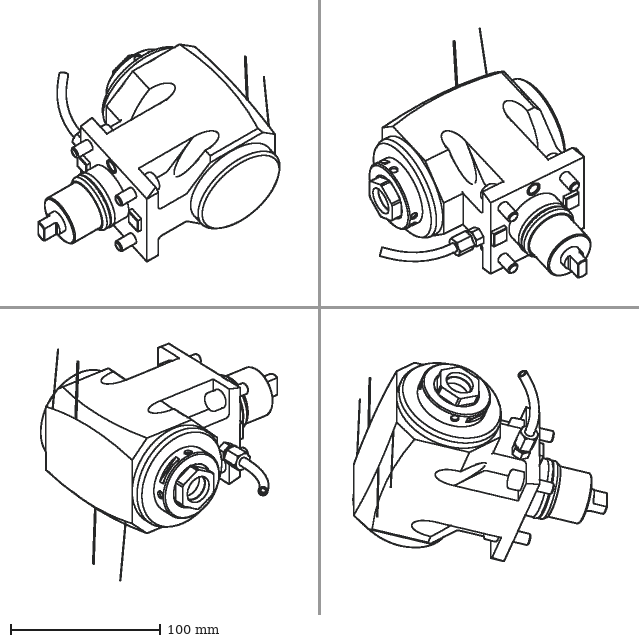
import cadquery as cq
import math


overall_length = 164.5

half_height = 37.0
back_y = 36.2
housing_left = -50.8
housing_right = 40.8
facet_start_y = -15.3
front_y = -37.2
neck_half_height = half_height - (facet_start_y - front_y)
back_chamfer = 7.0
back_curve_radius = 187.5
right_chamfer_x = 3.1
right_chamfer_z = 2.5

plate_left = -35.0
plate_back_y = -60.5
plate_front_y = -70.0
plate_edge_slope = 2.5
plate_front_half_height = half_height - plate_edge_slope
web_half_width = 18.1
neck_fillet = 3.0

bolt_offset = 25.0
bolt_radius = 4.0
bolt_tip_y = -82.5
bolt_chamfer = 0.8
bolt_head_radius = 6.5
bolt_head_length = 8.2
bolt_head_fillet = 1.2
scallop_radius = bolt_offset - web_half_width
scallop_start_y = 0.2
scallop_angle = 29.5
scallop_end_gap = 0.8
key_inner_x = 23.9
key_outer_x = 34.5
key_half_height = 6.1
key_height = 3.3
key_chamfer = 0.5
set_screw_z = 27.0
set_screw_radius = 3.6
set_screw_rim_radius = 5.0
set_screw_rim_depth = 0.5
set_screw_depth = 8.2

shank_radius = 20.0
bead_radius = 20.5
groove_radius = 18.5
pilot_radius = 17.5
drive_radius = 7.5
bead_start_y = -81.5
bead_end_y = -84.5
flange_start_y = -85.2
flange_end_y = -90.5
flange_chamfer_length = 2.5
flange_chamfer_radial = 1.6
pilot_end_y = -113.2
pilot_chamfer = 0.8
drive_end_y = -118.0
tang_end_y = back_y - overall_length
tang_half_width = 3.6
tang_root = 0.8
tang_chamfer = 0.5

collar_left = -59.0
collar_radius = 36.2
collar_chamfer_x = 3.1
collar_chamfer_radial = 1.6
nut_left = -70.0
nut_radius = 24.2
nut_chamfer = 1.0
nut_hole_x = -66.0
nut_hole_radius = 2.6
nut_hole_depth = 4.3
flat_x = -65.1
flat_width = 3.5
flat_length = 19.7
nut_recess_radius = 16.0
nut_recess_depth = 1.0
hex_left = -76.5
hex_across_flats = 27.0
hex_turned_radius = 15.1
mouth_radius = 9.4
mouth_depth = 4.1
bore_radius = 8.9
bore_depth = 9.9
cap_right = 51.3
cap_radius = 33.9
cap_chamfer = 2.0

fitting_y = -56.3
fitting_z = -8.9
seat_nut_end = -40.8
fitting_neck_end = -43.1
cap_nut_end = -55.0
seat_nut_flats = 10.9
cap_nut_flats = 11.8
cap_nut_turn = -7.0
cap_nut_chamfer = 0.8
fitting_neck_radius = 5.1
tube_radius = 3.1
tube_bore_radius = 2.0
tube_bore_depth = 3.3
tube_straight_end = -56.9
tube_bend_radius = 56.3
tube_bend_angle = 45.5
tube_tip_length = 5.6
tube_tilt = 15.0

needle_tip_z = 74.7
needle_root_z = 23.0
needles = [
    (32.5, -4.5, 1, 0.3, 0.3),
    (9.0, -1.8, 1, 1.0, 0.7),
    (-42.5, 4.5, -1, 0.3, 0.3),
    (-11.2, 1.8, -1, 1.0, 0.3),
]


def box(x0, x1, y0, y1, z0, z1):
    return cq.Workplane("XY").box(x1 - x0, y1 - y0, z1 - z0, centered=False).translate((x0, y0, z0))


def rod_x(radius, x0, x1, y=0, z=0):
    return cq.Workplane("YZ", origin=(x0, y, z)).circle(radius).extrude(x1 - x0)


def rod_y(radius, y0, y1, x=0, z=0):
    """Cylinder along Y starting at y0 and running in -Y to y1."""
    return cq.Workplane("XZ", origin=(x, y0, z)).circle(radius).extrude(y0 - y1)


def hex_x(across_flats, x0, x1, y, z, turn):
    """Hexagonal prism along X; a turn of 0 puts two corners on +Y and -Y."""
    corners = across_flats / math.cos(math.pi / 6)
    prism = cq.Workplane("YZ").polygon(6, corners).extrude(x1 - x0)
    return prism.rotate((0, 0, 0), (1, 0, 0), turn).translate((x0, y, z))


def housing():
    block = (
        cq.Workplane("YZ", origin=(housing_left, 0, 0))
        .moveTo(back_y, half_height)
        .lineTo(facet_start_y, half_height)
        .lineTo(front_y, neck_half_height)
        .lineTo(front_y, -neck_half_height)
        .lineTo(facet_start_y, -half_height)
        .lineTo(back_y, -half_height)
        .close()
        .extrude(housing_right - housing_left)
    )
    axis_y = back_y - back_chamfer - back_curve_radius
    middle_x = (housing_left + housing_right) / 2
    barrel = (
        cq.Workplane("XZ", origin=(middle_x, axis_y, 0))
        .moveTo(0, -half_height)
        .lineTo(back_curve_radius, -half_height)
        .lineTo(back_curve_radius + half_height, 0)
        .lineTo(back_curve_radius, half_height)
        .lineTo(0, half_height)
        .close()
        .revolve(360, (0, 0, 0), (0, 1, 0))
    )
    return block.intersect(barrel)


def neck():
    """Narrow neck between housing and plate, and the full-height web above and below it."""
    body = box(plate_left, housing_right, plate_back_y, front_y, -neck_half_height, neck_half_height)
    web = box(-web_half_width, web_half_width, plate_back_y, facet_start_y, -half_height, half_height)
    return body, web


def plate():
    return (
        cq.Workplane("YZ", origin=(plate_left, 0, 0))
        .moveTo(plate_back_y, half_height)
        .lineTo(plate_front_y, plate_front_half_height)
        .lineTo(plate_front_y, -plate_front_half_height)
        .lineTo(plate_back_y, -half_height)
        .close()
        .extrude(housing_right - plate_left)
    )


def neck_edges(solid):
    """Concave edges along X where the neck meets the housing facets and the plate."""
    middle_x = (plate_left + housing_right) / 2
    edges = cq.Workplane("XY")
    for z in (-neck_half_height, neck_half_height):
        for y in (front_y, plate_back_y):
            nearest = cq.selectors.NearestToPointSelector((middle_x, y, z))
            edges = edges.add(solid.edges(nearest))
    return edges.vals()


def right_edge_chamfers():
    """Wedges along the right-hand edges of the top and bottom faces."""
    wedges = cq.Workplane("XY")
    for side in (-1, 1):
        wedge = (
            cq.Workplane("XZ", origin=(0, back_y, 0))
            .moveTo(housing_right - right_chamfer_x, side * half_height)
            .lineTo(housing_right, side * half_height)
            .lineTo(housing_right, side * (half_height - right_chamfer_z))
            .close()
            .extrude(back_y - plate_front_y)
        )
        wedges = wedges.add(wedge)
    return wedges.combine()


def scallop(x, side):
    """Sloping round relief that gives access to a bolt head."""
    reach = back_y - plate_front_y
    rod = rod_y(scallop_radius, reach, -reach, z=scallop_radius)
    rod = rod.rotate((0, 0, 0), (1, 0, 0), scallop_angle)
    rod = rod.translate((x, scallop_start_y, half_height))
    housing_zone = box(x - scallop_radius, x + scallop_radius,
                       front_y + scallop_end_gap, back_y, 0, reach)
    rod = rod.intersect(housing_zone)
    return rod if side > 0 else rod.mirror("XY")


def bolt(x, z):
    shaft = rod_y(bolt_radius, plate_back_y, bolt_tip_y, x, z).faces("<Y").chamfer(bolt_chamfer)
    head = rod_y(bolt_head_radius, plate_back_y + bolt_head_length, plate_back_y, x, z)
    head = head.faces(">Y").edges().fillet(bolt_head_fillet)
    return shaft.union(head)


def key(side):
    block = box(key_inner_x, key_outer_x, plate_front_y - key_height, plate_front_y,
                -key_half_height, key_half_height)
    block = block.faces("<Y").chamfer(key_chamfer)
    return block if side > 0 else block.mirror("YZ")


def set_screw_hole(z):
    hole = rod_y(set_screw_radius, plate_front_y, plate_front_y + set_screw_depth, z=z)
    rim = rod_y(set_screw_rim_radius, plate_front_y, plate_front_y + set_screw_rim_depth, z=z)
    return hole.union(rim)


def shank():
    return (
        cq.Workplane("XY")
        .moveTo(0, plate_back_y)
        .lineTo(shank_radius, plate_back_y)
        .lineTo(shank_radius, bead_start_y)
        .threePointArc((bead_radius, (bead_start_y + bead_end_y) / 2), (shank_radius, bead_end_y))
        .lineTo(groove_radius, bead_end_y)
        .lineTo(groove_radius, flange_start_y)
        .lineTo(shank_radius, flange_start_y)
        .lineTo(shank_radius, flange_end_y + flange_chamfer_length)
        .lineTo(shank_radius - flange_chamfer_radial, flange_end_y)
        .lineTo(pilot_radius, flange_end_y)
        .lineTo(pilot_radius, pilot_end_y + pilot_chamfer)
        .lineTo(pilot_radius - pilot_chamfer, pilot_end_y)
        .lineTo(drive_radius, pilot_end_y)
        .lineTo(drive_radius, drive_end_y)
        .lineTo(0, drive_end_y)
        .close()
        .revolve(360, (0, 0, 0), (0, 1, 0))
    )


def tang():
    """Flat drive blade with a chamfered end and small slopes at its root."""
    round_bar = rod_y(drive_radius, drive_end_y, tang_end_y)
    profile = (
        cq.Workplane("XY", origin=(0, 0, -drive_radius))
        .moveTo(-tang_half_width - tang_root, drive_end_y)
        .lineTo(tang_half_width + tang_root, drive_end_y)
        .lineTo(tang_half_width, drive_end_y - tang_root)
        .lineTo(tang_half_width, tang_end_y)
        .lineTo(-tang_half_width, tang_end_y)
        .lineTo(-tang_half_width, drive_end_y - tang_root)
        .close()
        .extrude(2 * drive_radius)
    )
    return round_bar.intersect(profile).faces("<Y").chamfer(tang_chamfer)


def spindle_left():
    """Stepped collar, a nut with four cone-bottomed spanner holes, and a bored hexagon."""
    collar = (
        rod_x(collar_radius, collar_left, housing_left)
        .faces("<X").edges().chamfer(collar_chamfer_x, collar_chamfer_radial)
    )
    nut = rod_x(nut_radius, nut_left, collar_left).faces("<X").chamfer(nut_chamfer)
    nut = nut.cut(rod_x(nut_recess_radius, nut_left, nut_left + nut_recess_depth))
    for quarter in range(4):
        hole = (
            cq.Workplane("XZ", origin=(nut_hole_x, 0, 0))
            .moveTo(0, nut_radius - nut_hole_depth)
            .lineTo(nut_hole_radius, nut_radius - nut_hole_depth + nut_hole_radius)
            .lineTo(nut_hole_radius, nut_radius)
            .lineTo(0, nut_radius)
            .close()
            .revolve(360, (0, 0, 0), (0, 1, 0))
        )
        nut = nut.cut(hole.rotate((0, 0, 0), (1, 0, 0), 90 * quarter))
    hexagon = hex_x(hex_across_flats, hex_left, collar_left, 0, 0, 90)
    hexagon = hexagon.intersect(rod_x(hex_turned_radius, hex_left, collar_left))
    bore = rod_x(bore_radius, hex_left, hex_left + bore_depth)
    bore = bore.union(rod_x(mouth_radius, hex_left, hex_left + mouth_depth))
    return collar.union(nut).union(hexagon).cut(bore)


def nut_flats():
    """Flats milled across the nut on two opposite sides."""
    chord_height = math.sqrt(nut_radius ** 2 - (flat_length / 2) ** 2)
    flat = box(flat_x - flat_width / 2, flat_x + flat_width / 2,
               -flat_length / 2, flat_length / 2, chord_height, nut_radius)
    first = flat.rotate((0, 0, 0), (1, 0, 0), -45)
    return first.union(first.rotate((0, 0, 0), (1, 0, 0), 180))


def cap():
    return rod_x(cap_radius, housing_right, cap_right).faces(">X").chamfer(cap_chamfer)


def coolant_fitting():
    seat_nut = hex_x(seat_nut_flats, seat_nut_end, plate_left, fitting_y, fitting_z, 90)
    neck_ring = rod_x(fitting_neck_radius, cap_nut_end, plate_left, fitting_y, fitting_z)
    cap_nut = hex_x(cap_nut_flats, cap_nut_end, fitting_neck_end, fitting_y, fitting_z, cap_nut_turn)
    corner_radius = cap_nut_flats / 2 / math.cos(math.pi / 6)
    turned = rod_x(corner_radius, cap_nut_end, fitting_neck_end, fitting_y, fitting_z)
    cap_nut = cap_nut.intersect(turned.faces("<X").chamfer(cap_nut_chamfer))
    return seat_nut.union(neck_ring).union(cap_nut)


def tube():
    straight = rod_x(tube_radius, tube_straight_end, cap_nut_end)
    section = cq.Workplane("YZ", origin=(tube_straight_end, 0, 0)).circle(tube_radius)
    bend = section.revolve(tube_bend_angle, (tube_bend_radius, 1.6, 0), (tube_bend_radius, -1.6, 0))
    tip_start = tube_straight_end - tube_tip_length
    tip = rod_x(tube_radius, tip_start, tube_straight_end)
    tip = tip.cut(rod_x(tube_bore_radius, tip_start, tip_start + tube_bore_depth))
    pivot = (tube_straight_end, tube_bend_radius)
    tip = tip.rotate((*pivot, 0), (*pivot, -1), tube_bend_angle)
    bent = straight.union(bend).union(tip)
    bent = bent.rotate((0, 0, 0), (1, 0, 0), tube_tilt)
    return bent.translate((0, fitting_y, fitting_z))


def needle(x_edge, lean, side, width, thickness):
    slope = lean / (needle_tip_z - half_height)
    x_root = x_edge + slope * (needle_root_z - half_height)
    x_tip = x_edge + lean
    return (
        cq.Workplane("XZ", origin=(0, back_y, 0))
        .moveTo(x_root - width / 2, side * needle_root_z)
        .lineTo(x_root + width / 2, side * needle_root_z)
        .lineTo(x_tip + width / 2, side * needle_tip_z)
        .lineTo(x_tip - width / 2, side * needle_tip_z)
        .close()
        .extrude(thickness)
    )


neck_body, web = neck()
casting = housing().union(neck_body).union(plate())
result = casting.newObject(neck_edges(casting)).fillet(neck_fillet)
for x in (-bolt_offset, bolt_offset):
    for side in (-1, 1):
        result = result.cut(scallop(x, side))
result = result.union(web).cut(right_edge_chamfers())
result = result.union(spindle_left()).cut(nut_flats()).union(cap())
result = result.union(shank()).union(tang())
for x in (-bolt_offset, bolt_offset):
    for z in (-bolt_offset, bolt_offset):
        result = result.union(bolt(x, z))
for side in (-1, 1):
    result = result.union(key(side)).cut(set_screw_hole(side * set_screw_z))
result = result.union(coolant_fitting()).union(tube())
for mark in needles:
    result = result.union(needle(*mark))